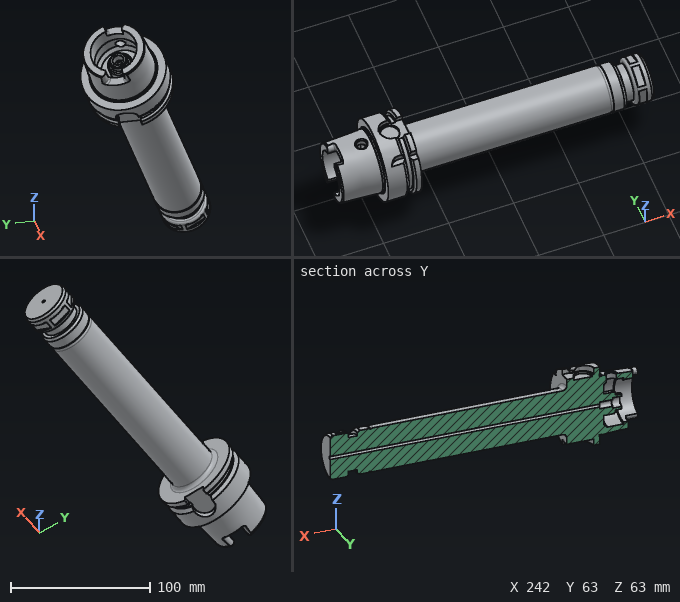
import cadquery as cq
import math


shank_length = 32.0
taper_small_radius = 22.8
taper_large_radius = 24.25
mouth_chamfer_length = 1.2
mouth_chamfer_depth = 0.5
relief_length = 1.5
relief_radius = 23.9
face_relief_radius = 25.2
face_relief_depth = 0.3

flange_radius = 31.5
flange_width = 26.0
groove_radius = 27.5
groove_start = 17.0
groove_end = 20.4
front_bevel_start = 14.5
front_bevel_radius = 28.7
rear_bevel_end = 21.8
rear_bevel_radius = 29.6

body_radius = 18.0
body_fillet = 3.0
ring_start = 176.5
ring_end = 178.8
ring_depth = 0.6
body_bevel_start = 186.7
body_end = 188.9
body_bevel_depth = 1.4
neck_radius = 14.0

nut_start = 195.5
nut_end = 210.0
nut_rear_round = 2.0
nut_bevel_length = 2.1
nut_bevel_depth = 1.2
wrench_flat_count = 6
wrench_flat_distance = 16.3
wrench_flat_start = 198.4
wrench_flat_end = 204.3

bore_radius = 17.0
bore_seat_radius = 15.8
bore_floor = -3.0
clamp_groove_start = -18.1
clamp_groove_radius = 18.5

collar_radius = 9.0
collar_front = -12.2
collar_chamfer = 1.1
tube_radius = 6.4
tube_front = -17.0
tube_chamfer = 0.75
tube_bore_diameter = 8.0
tube_bore_end = -10.0
tube_step_diameter = 5.0
tube_step_end = 0.0
coolant_hole_diameter = 2.0

drive_slot_half_width = 6.1
drive_slot_corner = 1.3
drive_slot_edge_round = 3.1
drive_slot_shoulder = 20.8
drive_slot_reach = 12.0
drive_slot_depth_top = 6.4
drive_slot_depth_bottom = 10.0

access_hole_x = -8.7
access_hole_diameter = 7.5
access_hole_chamfer = 0.9

keyway_width = 16.3
keyway_center_x = 13.2
keyway_floor = 26.5
chip_recess_diameter = 14.0
chip_recess_depth = 1.6
notch_offset = 20.0
notch_cutter_radius = 7.0
notch_center_x = 11.8


def revolve_about_x(profile):
    return profile.close().revolve(360, (0, 0, 0), (1, 0, 0))


def make_body():
    """Solid of revolution from the shank mouth to the end of the nut."""
    mouth = -shank_length
    fillet_end = flange_width + body_fillet
    fillet_sag = body_fillet * (1 - math.sqrt(0.5))
    nut_sag = nut_rear_round * (1 - math.sqrt(0.5))
    profile = (
        cq.Workplane("XY")
        .moveTo(mouth, 0)
        .lineTo(mouth, taper_small_radius - mouth_chamfer_depth)
        .lineTo(mouth + mouth_chamfer_length, taper_small_radius)
        .lineTo(-relief_length, taper_large_radius)
        .lineTo(-relief_length + taper_large_radius - relief_radius, relief_radius)
        .lineTo(face_relief_depth, relief_radius)
        .lineTo(face_relief_depth, face_relief_radius - face_relief_depth)
        .lineTo(0, face_relief_radius)
        .lineTo(0, flange_radius)
        .lineTo(front_bevel_start, flange_radius)
        .lineTo(groove_start, front_bevel_radius)
        .lineTo(groove_start, groove_radius)
        .lineTo(groove_end, groove_radius)
        .lineTo(groove_end, rear_bevel_radius)
        .lineTo(rear_bevel_end, flange_radius)
        .lineTo(flange_width, flange_radius)
        .lineTo(flange_width, body_radius + body_fillet)
        .threePointArc(
            (flange_width + fillet_sag, body_radius + fillet_sag),
            (fillet_end, body_radius),
        )
        .lineTo(ring_start, body_radius)
        .lineTo(ring_end, body_radius - ring_depth)
        .lineTo(ring_end, body_radius)
        .lineTo(body_bevel_start, body_radius)
        .lineTo(body_end, body_radius - body_bevel_depth)
        .lineTo(body_end, neck_radius)
        .lineTo(nut_start, neck_radius)
        .lineTo(nut_start, body_radius - nut_rear_round)
        .threePointArc(
            (nut_start + nut_sag, body_radius - nut_sag),
            (nut_start + nut_rear_round, body_radius),
        )
        .lineTo(nut_end - nut_bevel_length, body_radius)
        .lineTo(nut_end, body_radius - nut_bevel_depth)
        .lineTo(nut_end, 0)
    )
    return revolve_about_x(profile)


def make_shank_hollow():
    """Stepped bore of the shank, leaving the coolant tube standing."""
    mouth = -shank_length
    floor_bevel = clamp_groove_radius - bore_seat_radius
    profile = (
        cq.Workplane("XY")
        .moveTo(mouth, 0)
        .lineTo(mouth, bore_radius)
        .lineTo(clamp_groove_start, bore_radius)
        .lineTo(clamp_groove_start, clamp_groove_radius)
        .lineTo(bore_floor - floor_bevel, clamp_groove_radius)
        .lineTo(bore_floor, bore_seat_radius)
        .lineTo(bore_floor, collar_radius)
        .lineTo(collar_front + collar_chamfer, collar_radius)
        .lineTo(collar_front, collar_radius - collar_chamfer)
        .lineTo(collar_front, tube_radius)
        .lineTo(tube_front + tube_chamfer, tube_radius)
        .lineTo(tube_front, tube_radius - tube_chamfer)
        .lineTo(tube_front, 0)
    )
    return revolve_about_x(profile)


def axial_hole(diameter, start, end):
    return cq.Workplane("YZ", origin=(start, 0, 0)).circle(diameter / 2).extrude(end - start)


def make_coolant_passage():
    """Bore of the coolant tube, stepping down to a fine hole through the part."""
    passage = axial_hole(coolant_hole_diameter, tube_front, nut_end)
    passage = passage.union(axial_hole(tube_step_diameter, tube_front, tube_step_end))
    return passage.union(axial_hole(tube_bore_diameter, tube_front, tube_bore_end))


def make_drive_slot(depth, side):
    """Slot in the shank mouth on the +Z (side = 1) or -Z (side = -1) wall.

    Its side walls round over outwards to shoulders that run out through the taper
    surface, and a fillet joins all of them to the end wall.
    """
    half_width = drive_slot_half_width
    shoulder_start = half_width + drive_slot_edge_round
    round_start = drive_slot_shoulder - drive_slot_edge_round
    arc_offset = drive_slot_edge_round * (1 - math.sqrt(0.5))
    top = taper_large_radius + drive_slot_corner
    slot = (
        cq.Workplane("YZ", origin=(-shank_length, 0, 0))
        .moveTo(-half_width, 0)
        .lineTo(half_width, 0)
        .lineTo(half_width, round_start)
        .threePointArc(
            (half_width + arc_offset, drive_slot_shoulder - arc_offset),
            (shoulder_start, drive_slot_shoulder),
        )
        .lineTo(drive_slot_reach, drive_slot_shoulder)
        .lineTo(drive_slot_reach, top)
        .lineTo(-drive_slot_reach, top)
        .lineTo(-drive_slot_reach, drive_slot_shoulder)
        .lineTo(-shoulder_start, drive_slot_shoulder)
        .threePointArc(
            (-half_width - arc_offset, drive_slot_shoulder - arc_offset),
            (-half_width, round_start),
        )
        .close()
        .extrude(depth)
        .faces(">X")
        .edges()
        .fillet(drive_slot_corner)
    )
    if side < 0:
        slot = slot.rotate((0, 0, 0), (1, 0, 0), 180)
    return slot


def drill_access_hole(part):
    """Drill a radial hole from the top of the taper into the bore and break its edge."""
    hole = (
        cq.Workplane("XY", origin=(access_hole_x, 0, bore_seat_radius))
        .circle(access_hole_diameter / 2)
        .extrude(flange_radius - bore_seat_radius)
    )
    mouth = cq.selectors.NearestToPointSelector((access_hole_x, 0, taper_large_radius))
    return part.cut(hole).edges(mouth).chamfer(access_hole_chamfer)


def round_ended_cut(center_x, center_y, radius, floor):
    """Milled cut with a round end towards -X, open at the rear of the flange."""
    height = flange_radius - floor
    run_out = flange_width - center_x
    plane = cq.Workplane("XY", origin=(center_x, center_y, floor))
    round_end = plane.circle(radius).extrude(height)
    straight = plane.center(run_out / 2, 0).rect(run_out, 2 * radius).extrude(height)
    return straight.union(round_end)


def make_flange_cuts():
    """Opposite keyways, the data-chip recess in the top one, and the corner notch."""
    keyway = round_ended_cut(keyway_center_x, 0, keyway_width / 2, keyway_floor)
    recess = (
        cq.Workplane("XY", origin=(keyway_center_x, 0, keyway_floor - chip_recess_depth))
        .circle(chip_recess_diameter / 2)
        .extrude(chip_recess_depth)
    )
    notch_center_y = -notch_offset - notch_cutter_radius
    notch = round_ended_cut(notch_center_x, notch_center_y, notch_cutter_radius, notch_offset)
    opposite = keyway.rotate((0, 0, 0), (1, 0, 0), 180)
    return [keyway, opposite, recess, notch]


def make_wrench_flats():
    """Material outside the hexagon that forms the wrench flats of the nut."""
    length = wrench_flat_end - wrench_flat_start
    plane = cq.Workplane("YZ", origin=(wrench_flat_start, 0, 0))
    corner_radius = wrench_flat_distance / math.cos(math.pi / wrench_flat_count)
    hexagon = plane.polygon(wrench_flat_count, 2 * corner_radius).extrude(length)
    hexagon = hexagon.rotate((0, 0, 0), (1, 0, 0), 180 / wrench_flat_count)
    return plane.circle(body_radius + 1).extrude(length).cut(hexagon)


result = make_body()
result = result.cut(make_shank_hollow())
result = drill_access_hole(result)
result = result.cut(make_coolant_passage())
result = result.cut(make_drive_slot(drive_slot_depth_top, 1))
result = result.cut(make_drive_slot(drive_slot_depth_bottom, -1))
for flange_cut in make_flange_cuts():
    result = result.cut(flange_cut)
result = result.cut(make_wrench_flats())